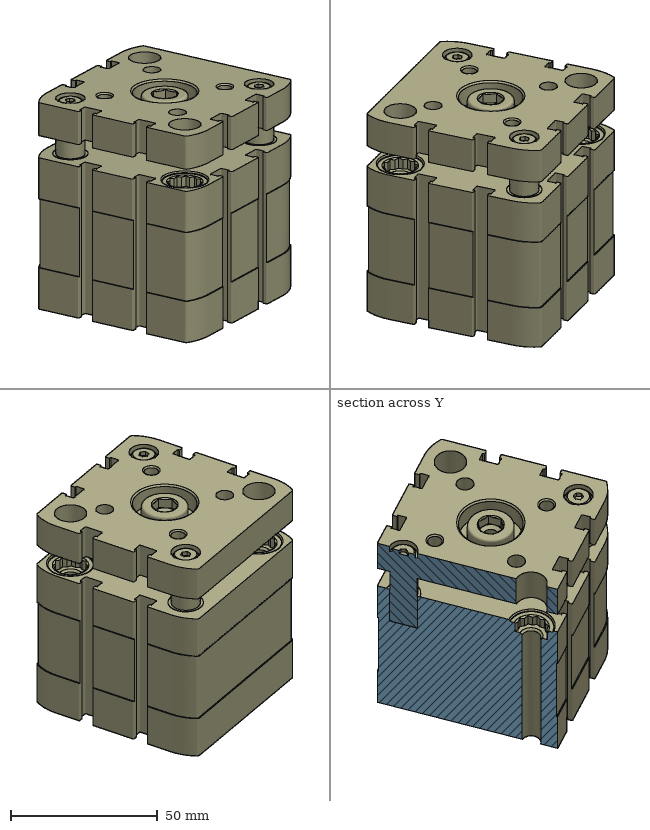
import cadquery as cq
import math

WIDTH = 65.5
TOTAL_HEIGHT = 75.2
PLATE_THICKNESS = 12.0
STROKE_GAP = 8.05
CAP_HEIGHT = 15.05
BARREL_INSET = 0.4

PLATE_BOTTOM = TOTAL_HEIGHT - PLATE_THICKNESS
HOUSING_TOP = PLATE_BOTTOM - STROKE_GAP
BARREL_TOP = HOUSING_TOP - CAP_HEIGHT
INSERTION_END = BARREL_TOP

SIDE_FLAT_HALF = 23.2
CORNER_RADIUS = 17.5
EDGE_ROUND = 1.0

SLOT_OFFSET = 11.0
SLOT_NECK_WIDTH = 5.35
SLOT_HEAD_WIDTH = 6.85
SLOT_LIP = 1.8
SLOT_DEPTH = 5.05
SLOT_MOUTH_ROUND = 0.3
SLOT_FLOOR_ROUND = 0.3

GUIDE_OFFSET = 23.2
FIXING_OFFSET = 14.8

ROD_DIAMETER = 16.0
ROD_TOP = TOTAL_HEIGHT - 1.0
ROD_END_ROUND = 1.0
ROD_FLATS_WIDTH = 13.0
ROD_FLATS_BOTTOM = HOUSING_TOP + 1.65
ROD_HEX = 8.0
ROD_HEX_DEPTH = 3.75
ROD_HEX_MOUTH = 0.45
ROD_BORE = 5.0
ROD_BORE_DEPTH = 5.05
DRILL_HALF_ANGLE = 59.0

RECESS_DIAMETER = 22.0
RECESS_DEPTH = 7.3
RECESS_CHAMFER = 0.6
ACCESS_DIAMETER = 11.0
DOWEL_DIAMETER = 6.0
TAPPED_DIAMETER = 5.0
TAPPED_MOUTH = 6.0

PIN_DIAMETER = 10.0
PIN_COUNTERBORE = 12.0
PIN_COUNTERBORE_DEPTH = 0.15
PIN_HEAD_DIAMETER = 8.5
PIN_HEAD_TOP = TOTAL_HEIGHT - 0.75
PIN_HEAD_CHAMFER = 0.45
PIN_GROOVE_DEPTH = 2.25
PIN_HEX = 3.0
PIN_HEX_DEPTH = 2.0
PIN_HEX_TURN = -45.0

SCREW_RECESS = 15.5
SCREW_RECESS_MOUTH = 16.4
SCREW_RECESS_DEPTH = 0.75
SOCKET_CORNERS = 12.0
SOCKET_DEPTH = 4.8
SOCKET_MOUTH = 12.5
SOCKET_MOUTH_END = 10.5
SOCKET_MOUTH_DEPTH = 0.5
SCREW_BORE = 6.6
SCREW_BORE_MOUTH = 8.1


def diagonal_pair(offset, sign):
    """Two opposite points: on Y = X for sign +1, on Y = -X for sign -1."""
    return [(offset, sign * offset), (-offset, -sign * offset)]


CENTRE = [(0, 0)]
PIN_POINTS = diagonal_pair(GUIDE_OFFSET, 1)
SCREW_POINTS = diagonal_pair(GUIDE_OFFSET, -1)
TAPPED_POINTS = diagonal_pair(FIXING_OFFSET, 1)
DOWEL_POINTS = diagonal_pair(FIXING_OFFSET, -1)


def copies(solid, points, height):
    """Copies of a solid at the given points, raised to the given height."""
    places = [cq.Location(cq.Vector(x, y, height)) for x, y in points]
    return cq.Workplane("XY").newObject([solid.moved(place) for place in places]).combine()


def cylinders(diameter, bottom, top, points=CENTRE):
    return copies(cq.Solid.makeCylinder(diameter / 2, top - bottom), points, bottom)


def cones(bottom_diameter, top_diameter, bottom, top, points=CENTRE):
    return copies(cq.Solid.makeCone(bottom_diameter / 2, top_diameter / 2, top - bottom), points, bottom)


def corner_width(across_flats):
    return across_flats / math.cos(math.pi / 6)


def hexagons(across_corners, bottom, top, points=CENTRE, turn=0.0):
    prism = cq.Workplane("XY").polygon(6, across_corners).extrude(top - bottom)
    prism = prism.rotate((0, 0, 0), (0, 0, 1), turn)
    return copies(prism.val(), points, bottom)


def outline_block(inset, bottom, top):
    """Square block with arcs at its corners; every side is moved inward by inset."""
    half = WIDTH / 2 - inset
    radius = CORNER_RADIUS - inset
    rise = half - SIDE_FLAT_HALF
    arc_centre = half - radius
    end_x = arc_centre + math.sqrt(radius ** 2 - rise ** 2)
    middle_y = SIDE_FLAT_HALF + rise / 2
    middle_x = arc_centre + math.sqrt(radius ** 2 - (rise / 2) ** 2)
    block = (
        cq.Workplane("XY").workplane(offset=bottom)
        .moveTo(half, -SIDE_FLAT_HALF)
        .lineTo(half, SIDE_FLAT_HALF)
        .threePointArc((middle_x, middle_y), (end_x, half))
        .lineTo(-end_x, half)
        .threePointArc((-middle_x, middle_y), (-half, SIDE_FLAT_HALF))
        .lineTo(-half, -SIDE_FLAT_HALF)
        .threePointArc((-middle_x, -middle_y), (-end_x, -half))
        .lineTo(end_x, -half)
        .threePointArc((middle_x, -middle_y), (half, -SIDE_FLAT_HALF))
        .close()
        .extrude(top - bottom)
    )
    return block.faces("<Y or >Y").edges("|Z").fillet(EDGE_ROUND)


def t_slot(height):
    """One slot opening toward -Y, its mouth on the plane Y = 0."""
    neck_half = SLOT_NECK_WIDTH / 2
    mouth_half = neck_half + SLOT_MOUTH_ROUND
    arc_inset = SLOT_MOUTH_ROUND * (1 - math.sqrt(0.5))
    mouth = (
        cq.Workplane("XY")
        .moveTo(-mouth_half, 0)
        .lineTo(mouth_half, 0)
        .threePointArc((neck_half + arc_inset, arc_inset), (neck_half, SLOT_MOUTH_ROUND))
        .lineTo(-neck_half, SLOT_MOUTH_ROUND)
        .threePointArc((-neck_half - arc_inset, arc_inset), (-mouth_half, 0))
        .close()
        .extrude(height)
    )
    neck = cq.Workplane("XY").box(SLOT_NECK_WIDTH, SLOT_DEPTH, height, centered=(True, False, False))
    head = (
        cq.Workplane("XY")
        .box(SLOT_HEAD_WIDTH, SLOT_DEPTH - SLOT_LIP, height, centered=(True, False, False))
        .faces(">Y").edges("|Z").fillet(SLOT_FLOOR_ROUND)
        .translate((0, SLOT_LIP, 0))
    )
    return neck.union(head).union(mouth)


def t_slots(bottom, top):
    """Paired slots on the -X, -Y and +X sides; the +Y side is plain."""
    slots = cq.Workplane("XY")
    for turn in (-90, 0, 90):
        for x in (-SLOT_OFFSET, SLOT_OFFSET):
            slot = t_slot(top - bottom).translate((x, -WIDTH / 2, bottom))
            slots = slots.union(slot.rotate((0, 0, 0), (0, 0, 1), turn))
    return slots


def hollow_screw_cuts():
    """Recess, twelve-point socket and through bore of both hollow screws."""
    head_top = HOUSING_TOP - SCREW_RECESS_DEPTH
    recess_mouth_bottom = HOUSING_TOP - (SCREW_RECESS_MOUTH - SCREW_RECESS) / 2
    socket_mouth_bottom = head_top - SOCKET_MOUTH_DEPTH
    socket_bottom = HOUSING_TOP - SOCKET_DEPTH
    bore_top = socket_bottom - (SCREW_BORE_MOUTH - SCREW_BORE) / 2
    cuts = cylinders(SCREW_RECESS, head_top, HOUSING_TOP, SCREW_POINTS)
    cuts = cuts.union(
        cones(SCREW_RECESS, SCREW_RECESS_MOUTH, recess_mouth_bottom, HOUSING_TOP, SCREW_POINTS))
    cuts = cuts.union(cones(SOCKET_MOUTH_END, SOCKET_MOUTH, socket_mouth_bottom, head_top, SCREW_POINTS))
    for turn in (0, 30):
        cuts = cuts.union(hexagons(SOCKET_CORNERS, socket_bottom, head_top, SCREW_POINTS, turn))
    cuts = cuts.union(cones(SCREW_BORE, SCREW_BORE_MOUTH, bore_top, socket_bottom, SCREW_POINTS))
    return cuts.union(cylinders(SCREW_BORE, 0, bore_top, SCREW_POINTS))


def make_housing():
    body = outline_block(0, 0, CAP_HEIGHT)
    body = body.union(outline_block(BARREL_INSET, CAP_HEIGHT, BARREL_TOP))
    body = body.union(outline_block(0, BARREL_TOP, HOUSING_TOP))
    body = body.cut(t_slots(0, HOUSING_TOP))
    body = body.cut(cylinders(ROD_DIAMETER, INSERTION_END, HOUSING_TOP))
    body = body.cut(cylinders(PIN_DIAMETER, INSERTION_END, HOUSING_TOP, PIN_POINTS))
    step_bottom = HOUSING_TOP - PIN_COUNTERBORE_DEPTH
    body = body.cut(cylinders(PIN_COUNTERBORE, step_bottom, HOUSING_TOP, PIN_POINTS))
    return body.cut(hollow_screw_cuts())


def make_plate():
    plate = outline_block(0, PLATE_BOTTOM, TOTAL_HEIGHT).cut(t_slots(PLATE_BOTTOM, TOTAL_HEIGHT))
    recess_mouth = RECESS_DIAMETER + 2 * RECESS_CHAMFER
    plate = plate.cut(cylinders(RECESS_DIAMETER, TOTAL_HEIGHT - RECESS_DEPTH, TOTAL_HEIGHT))
    plate = plate.cut(cones(RECESS_DIAMETER, recess_mouth, TOTAL_HEIGHT - RECESS_CHAMFER, TOTAL_HEIGHT))
    plate = plate.cut(cylinders(ACCESS_DIAMETER, PLATE_BOTTOM, TOTAL_HEIGHT, SCREW_POINTS))
    plate = plate.cut(cylinders(DOWEL_DIAMETER, PLATE_BOTTOM, TOTAL_HEIGHT, DOWEL_POINTS))
    plate = plate.cut(cylinders(TAPPED_DIAMETER, PLATE_BOTTOM, TOTAL_HEIGHT, TAPPED_POINTS))
    mouth_bottom = TOTAL_HEIGHT - (TAPPED_MOUTH - TAPPED_DIAMETER) / 2
    plate = plate.cut(cones(TAPPED_DIAMETER, TAPPED_MOUTH, mouth_bottom, TOTAL_HEIGHT, TAPPED_POINTS))
    return plate.cut(cylinders(PIN_DIAMETER, TOTAL_HEIGHT - PIN_GROOVE_DEPTH, TOTAL_HEIGHT, PIN_POINTS))


def wrench_flat_cut():
    """Removes the rod side beyond the +Y flat, which runs out at 45 degrees below."""
    flat_y = ROD_FLATS_WIDTH / 2
    rod_y = ROD_DIAMETER / 2
    profile = [
        (flat_y, PLATE_BOTTOM),
        (flat_y, ROD_FLATS_BOTTOM),
        (rod_y, ROD_FLATS_BOTTOM - (rod_y - flat_y)),
        (rod_y, PLATE_BOTTOM),
    ]
    return cq.Workplane("YZ").polyline(profile).close().extrude(ROD_DIAMETER / 2, both=True)


def rod_socket():
    """Chamfered hexagon, then a drilled bore with conical shoulder and tip."""
    corners = corner_width(ROD_HEX)
    slope = math.tan(math.radians(DRILL_HALF_ANGLE))
    hex_bottom = ROD_TOP - ROD_HEX_DEPTH
    bore_top = hex_bottom - (ROD_HEX - ROD_BORE) / 2 / slope
    bore_bottom = bore_top - ROD_BORE_DEPTH
    tip = bore_bottom - ROD_BORE / 2 / slope
    socket = hexagons(corners, hex_bottom, ROD_TOP)
    socket = socket.union(cones(corners - 2 * ROD_HEX_MOUTH, corners, ROD_TOP - ROD_HEX_MOUTH, ROD_TOP))
    socket = socket.union(cones(ROD_BORE, ROD_HEX, bore_top, hex_bottom))
    socket = socket.union(cylinders(ROD_BORE, bore_bottom, bore_top))
    return socket.union(cones(0, ROD_BORE, tip, bore_bottom))


def make_rod():
    rod = cylinders(ROD_DIAMETER, INSERTION_END, ROD_TOP).faces(">Z").edges().fillet(ROD_END_ROUND)
    flat_cut = wrench_flat_cut()
    return rod.cut(flat_cut).cut(flat_cut.mirror("XZ"))


def make_pin(point):
    head_bottom = TOTAL_HEIGHT - PIN_GROOVE_DEPTH
    head = cylinders(PIN_HEAD_DIAMETER, head_bottom, PIN_HEAD_TOP, [point])
    head = head.faces(">Z").edges().chamfer(PIN_HEAD_CHAMFER)
    hex_bottom = PIN_HEAD_TOP - PIN_HEX_DEPTH
    head = head.cut(hexagons(corner_width(PIN_HEX), hex_bottom, PIN_HEAD_TOP, [point], PIN_HEX_TURN))
    return cylinders(PIN_DIAMETER, INSERTION_END, head_bottom, [point]).union(head)


def make_slider():
    body = make_plate().union(make_rod()).cut(rod_socket())
    for point in PIN_POINTS:
        body = body.union(make_pin(point))
    return body


housing = make_housing()
slider = make_slider()
result = cq.Compound.makeCompound([housing.val(), slider.val()])